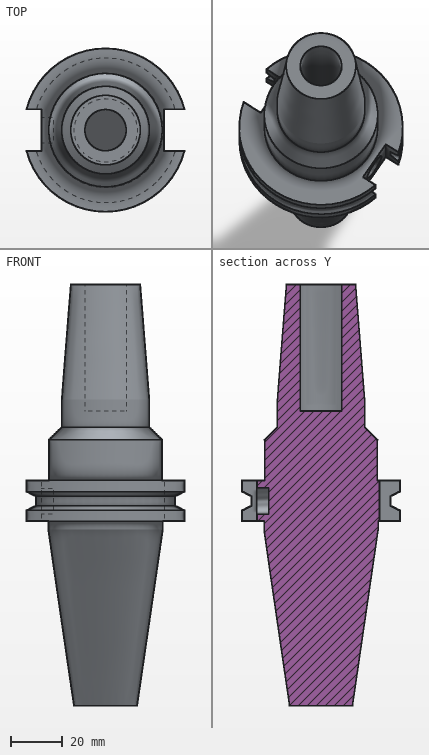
import cadquery as cq

total_height = 163.5
taper_top = 68.4
flange_bottom = 71.6
flange_top = 87.5
groove_middle = 79.5
body_top = 103.2
neck_bottom = 108.1
nose_bottom = 118.9

taper_small_diameter = 24.5
taper_large_diameter = 44.5
flange_diameter = 63.5
groove_diameter = 56.3
body_diameter = 44.0
neck_diameter = 34.0
nose_top_diameter = 27.0

groove_rim_width = 7.4
groove_floor_width = 3.6

slot_width = 16.0
deep_slot_floor = 22.7
shallow_slot_floor = 24.9

bore_diameter = 16.0
bore_depth = 49.0
pocket_diameter = 10.0
pocket_depth = 4.5


def revolved_body():
    """Taper, grooved flange, body and nose as one turned profile."""
    steps = [
        (taper_small_diameter, 0),
        (taper_large_diameter, taper_top),
        (taper_large_diameter, flange_bottom),
        (flange_diameter, flange_bottom),
        (flange_diameter, groove_middle - groove_rim_width / 2),
        (groove_diameter, groove_middle - groove_floor_width / 2),
        (groove_diameter, groove_middle + groove_floor_width / 2),
        (flange_diameter, groove_middle + groove_rim_width / 2),
        (flange_diameter, flange_top),
        (body_diameter, flange_top),
        (body_diameter, body_top),
        (neck_diameter, neck_bottom),
        (neck_diameter, nose_bottom),
        (nose_top_diameter, total_height),
    ]
    outline = [(diameter / 2, height) for diameter, height in steps]
    profile = cq.Workplane("XZ").polyline([(0, 0)] + outline + [(0, total_height)]).close()
    return profile.revolve(360, (0, 0, 0), (0, 1, 0))


def drive_slot(side, floor):
    """Block that cuts a slot through the flange; side is -1 for -X and 1 for +X."""
    slot_length = flange_diameter / 2
    return (
        cq.Workplane("XY", origin=(side * (floor + slot_length / 2), 0, flange_bottom))
        .rect(slot_length, slot_width)
        .extrude(flange_top - flange_bottom)
    )


def tool_bore():
    """Blind bore going down from the nose face."""
    return (
        cq.Workplane("XY", origin=(0, 0, total_height))
        .circle(bore_diameter / 2)
        .extrude(-bore_depth)
    )


def slot_pocket():
    """Blind round pocket going inward from the floor of the -X slot."""
    return (
        cq.Workplane("YZ", origin=(-shallow_slot_floor, 0, groove_middle))
        .circle(pocket_diameter / 2)
        .extrude(pocket_depth)
    )


result = (
    revolved_body()
    .cut(drive_slot(-1, shallow_slot_floor))
    .cut(drive_slot(1, deep_slot_floor))
    .cut(tool_bore())
    .cut(slot_pocket())
)